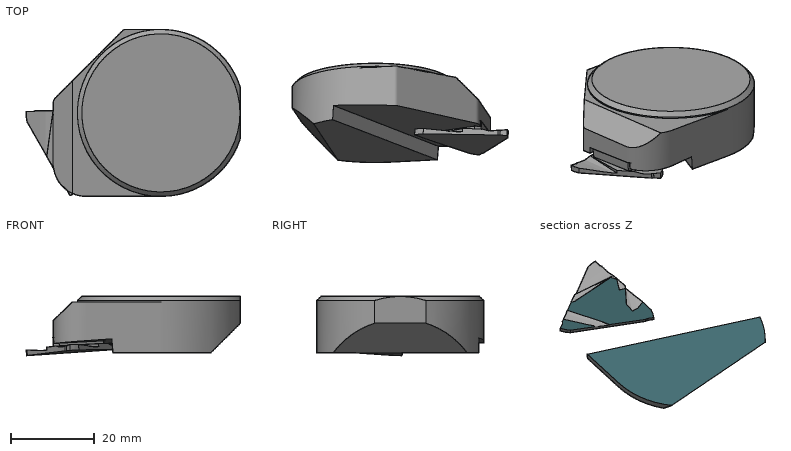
import cadquery as cq
import math

DISC_RADIUS = 20.0
HEAD_HEIGHT = 13.6
RIM_CHAMFER = 1.1
FLAT_X = 19.0
BOTTOM_BEVEL = 7.1
PLATFORM_HEIGHT = 12.2
PLATFORM_LEFT = -25.8
PLATFORM_CORNER_Y = 3.1
LEFT_CORNER_RADIUS = 1.9
BACK_CORNER_RADIUS = 0.9
FRONT_CORNER_RADIUS = 7.9
BEVEL_WIDTH = 4.6
BEVEL_DROP = 4.5

INSERT_CENTRE = (-21.1, -6.7, 0.25)
INSERT_NORMAL = (-0.069, 0.029, 1.0)
TIP_COUNT = 3
PLATE_THICKNESS = 1.45
BOSS_TOP = 3.55
BOSS_FACE = 4.5
BOSS_HALF_LENGTH = 6.15

TIP_EDGE_X = -11.05
TIP_OUTLINE = [
    (-8.9, 7.25),
    (-9.4, 7.0),
    (TIP_EDGE_X, 7.0),
    (TIP_EDGE_X, 5.75),
    (-10.85, 4.5),
]

GROOVE_FLOOR = [
    (TIP_EDGE_X, 1.2),
    (-7.75, 0.8),
    (-6.4, 0.75),
    (-4.35, 1.3),
]
GROOVE_TILT = 2.0
GROOVE_BACK = (-4.55, 7.7)
GROOVE_FRONT = (-6.25, -4.6)

SEAT_LEVEL = 2.05
SEAT_WALL = [(9.55, -13.35), (27.9, 25.55)]
SEAT_REACH = 20.5
WALL_OVERRUN = 0.1
CUT_DEPTH = 6.15
POCKET_CLEARANCE = 0.3
MOUTH_BACK_Y = 7.3
MOUTH_FRONT_Y = -6.6
MOUTH_DEPTH = 1.3
MOUTH_REACH = 4.1


def insert_plane(level):
    """Work plane parallel to the insert's underside, at a height above it."""
    base = cq.Plane(INSERT_CENTRE, (1, 0, -INSERT_NORMAL[0]), INSERT_NORMAL)
    return cq.Workplane(base).workplane(offset=level)


def turned(point, index):
    """Point turned about the insert's centre to the tip with this index."""
    angle = index * 2 * math.pi / TIP_COUNT
    x, y = point
    return (x * math.cos(angle) - y * math.sin(angle), x * math.sin(angle) + y * math.cos(angle))


def repeated_outline(points):
    """Closed outline made of the same points at every tip."""
    return [turned(point, index) for index in range(TIP_COUNT) for point in points]


PLATE_OUTLINE = repeated_outline(TIP_OUTLINE)
BOSS_OUTLINE = repeated_outline([(-BOSS_FACE, BOSS_HALF_LENGTH), (-BOSS_FACE, -BOSS_HALF_LENGTH)])


def make_platform():
    back_corner_x = PLATFORM_LEFT + DISC_RADIUS - PLATFORM_CORNER_Y
    platform = (
        cq.Workplane("XY")
        .moveTo(0, -DISC_RADIUS)
        .lineTo(PLATFORM_LEFT, -DISC_RADIUS)
        .lineTo(PLATFORM_LEFT, PLATFORM_CORNER_Y)
        .lineTo(back_corner_x, DISC_RADIUS)
        .lineTo(0, DISC_RADIUS)
        .close()
        .extrude(PLATFORM_HEIGHT)
    )
    corners = [
        (PLATFORM_LEFT, -DISC_RADIUS, FRONT_CORNER_RADIUS),
        (PLATFORM_LEFT, PLATFORM_CORNER_Y, LEFT_CORNER_RADIUS),
        (back_corner_x, DISC_RADIUS, BACK_CORNER_RADIUS),
    ]
    for x, y, radius in corners:
        nearest = cq.selectors.NearestToPointSelector((x, y, PLATFORM_HEIGHT / 2))
        platform = platform.edges("|Z").edges(nearest).fillet(radius)
    bevel = (
        cq.Workplane("XZ")
        .moveTo(PLATFORM_LEFT, PLATFORM_HEIGHT)
        .lineTo(PLATFORM_LEFT + BEVEL_WIDTH, PLATFORM_HEIGHT)
        .lineTo(PLATFORM_LEFT, PLATFORM_HEIGHT - BEVEL_DROP)
        .close()
        .extrude(DISC_RADIUS, both=True)
    )
    return platform.cut(bevel)


def make_disc():
    disc = cq.Workplane("XY").circle(DISC_RADIUS).extrude(HEAD_HEIGHT)
    return disc.faces(">Z").chamfer(RIM_CHAMFER)


def right_side_cut():
    """Everything beyond the +X flat and below the bevel under it."""
    return (
        cq.Workplane("XZ")
        .moveTo(FLAT_X, HEAD_HEIGHT)
        .lineTo(FLAT_X, BOTTOM_BEVEL)
        .lineTo(FLAT_X - BOTTOM_BEVEL, 0)
        .lineTo(DISC_RADIUS, 0)
        .lineTo(DISC_RADIUS, HEAD_HEIGHT)
        .close()
        .extrude(DISC_RADIUS, both=True)
    )


def seat_cut():
    """Tilted seat under the platform, ending at a slanting wall across the disc."""
    (front_x, front_y), (back_x, back_y) = SEAT_WALL
    run_x = (back_x - front_x) * WALL_OVERRUN
    run_y = (back_y - front_y) * WALL_OVERRUN
    return (
        insert_plane(SEAT_LEVEL)
        .moveTo(-SEAT_REACH, front_y - run_y)
        .lineTo(front_x - run_x, front_y - run_y)
        .lineTo(back_x + run_x, back_y + run_y)
        .lineTo(-SEAT_REACH, back_y + run_y)
        .close()
        .extrude(-CUT_DEPTH)
    )


def boss_pocket():
    """Pocket for the boss, widened where it opens through the left face."""
    depth = BOSS_TOP - SEAT_LEVEL
    pocket = (
        insert_plane(SEAT_LEVEL)
        .polyline(BOSS_OUTLINE)
        .close()
        .offset2D(POCKET_CLEARANCE, "intersection")
        .extrude(depth)
    )
    mouth = (
        insert_plane(SEAT_LEVEL)
        .moveTo(-BOSS_FACE - MOUTH_REACH, MOUTH_FRONT_Y)
        .lineTo(-BOSS_FACE + MOUTH_DEPTH, MOUTH_FRONT_Y)
        .lineTo(-BOSS_FACE + MOUTH_DEPTH, MOUTH_BACK_Y)
        .lineTo(-BOSS_FACE - MOUTH_REACH, MOUTH_BACK_Y)
        .close()
        .extrude(depth)
    )
    return pocket.union(mouth)


def make_head():
    head = make_disc().union(make_platform())
    return head.cut(right_side_cut()).cut(seat_cut()).cut(boss_pocket())


def chip_groove(index):
    """Sunken rake face behind one cutting edge, ending at a slanting back edge."""
    back_x, back_y = GROOVE_BACK
    front_x, front_y = GROOVE_FRONT
    origin = cq.Vector(0, 0, 0)
    end_x = GROOVE_FLOOR[-1][0]
    rake = (
        cq.Workplane("XZ", origin=(0, back_y, 0))
        .polyline(GROOVE_FLOOR + [(end_x, BOSS_TOP), (TIP_EDGE_X, BOSS_TOP)])
        .close()
        .extrude(back_y - front_y)
        .rotate(origin, cq.Vector(1, 0, 0), GROOVE_TILT)
    )
    bounds = (
        cq.Workplane("XY")
        .moveTo(TIP_EDGE_X, front_y)
        .lineTo(front_x, front_y)
        .lineTo(back_x, back_y)
        .lineTo(TIP_EDGE_X, back_y)
        .close()
        .extrude(BOSS_TOP)
    )
    groove = rake.intersect(bounds).val()
    groove = groove.rotate(origin, cq.Vector(0, 0, 1), index * 360 / TIP_COUNT)
    return groove.moved(cq.Location(insert_plane(0).plane))


def make_insert():
    plate = insert_plane(0).polyline(PLATE_OUTLINE).close().extrude(PLATE_THICKNESS)
    for index in range(TIP_COUNT):
        plate = plate.cut(cq.Workplane(chip_groove(index)))
    boss = insert_plane(0).polyline(BOSS_OUTLINE).close().extrude(BOSS_TOP)
    return plate.union(boss)


head = make_head()
insert = make_insert()

result = cq.Compound.makeCompound([head.solids().val(), insert.solids().val()])